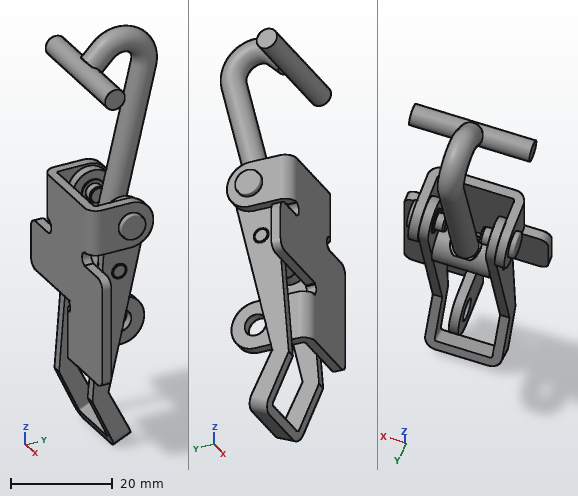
import cadquery as cq
import math


SHEET = 2.0
BEND_OUTER = 2.5
BEND_INNER = BEND_OUTER - SHEET
PLATE_HALF_WIDTH = 15.0
PLATE_CORNER = 2.0
WING_BOTTOM = 13.1
WING_TOP = 24.0
EAR_BOTTOM = 27.0
EAR_HEIGHT = 10.0
EAR_TOP = EAR_BOTTOM + EAR_HEIGHT
EAR_OUTER_X = 10.0
EAR_REACH = 14.0
EAR_RELIEF_X = 6.45
TAB_HEIGHT = 10.5
TAB_OUTER_X = -1.5
TAB_REACH = 17.0
TAB_HOLE_DIAMETER = 4.7
TAB_RELIEF_X = 1.5

PIVOT_Y = EAR_REACH - EAR_HEIGHT / 2
PIVOT_Z = EAR_BOTTOM + EAR_HEIGHT / 2
LEVER_HALF_WIDTH = EAR_OUTER_X - SHEET
LEVER_WALL = 2.0
LEVER_INNER_X = LEVER_HALF_WIDTH - LEVER_WALL
LEVER_BEND_OUTER = 2.5
LEVER_BEND_INNER = LEVER_BEND_OUTER - LEVER_WALL
LEVER_HEAD_RADIUS = 4.5
LEVER_BACK_TILT = math.radians(12.85)
LEVER_FRONT_TILT = math.radians(4.4)
KNEE_FRONT_Z = -6.7
KNEE_BACK_Z = -5.4
HANDLE_TILT = math.radians(24.5)
HANDLE_LENGTH = 12.9
HANDLE_DEPTH = 4.2
GAP_CUT_SIZE = 100.0

RIVET_DIAMETER = 3.5
RIVET_HEAD_DIAMETER = 5.5
RIVET_HEAD_HEIGHT = 1.1
RIVET_HEAD_FILLET = 0.2
RIVET_COLLAR_DIAMETER = 5.0
RIVET_COLLAR_HEIGHT = 0.3
RIVET_TAIL_X = 3.65
RIVET_TAIL_TAPER = 0.4
RIVET_TAIL_STEP = 0.15

BARREL_Y = 7.5
BARREL_Z = 21.1
BARREL_DIAMETER = 7.8
TRUNNION_DIAMETER = 3.2
TRUNNION_CHAMFER = 0.25
BARREL_RECESS_DIAMETER = 6.2
BARREL_RECESS_DEPTH = 1.0

ROD_DIAMETER = 5.1
ROD_TILT = math.radians(13.35)
ROD_LENGTH = 41.5
ROD_TAIL = 4.5
HOOK_RADIUS = 5.35
HOOK_END_ANGLE = math.radians(45)
HOOK_TIP_LENGTH = 3.8
BAR_OFFSET = 5.6
BAR_DIAMETER = 4.4
BAR_LENGTH = 25.0


def offset(point, direction, distance):
    """Point reached by moving a distance along a unit direction in the YZ plane."""
    return (point[0] + direction[0] * distance, point[1] + direction[1] * distance)


def x_cylinder(diameter, x_start, x_end, y, z):
    """Cylinder along X between two X positions."""
    return cq.Workplane("YZ", origin=(x_start, y, z)).circle(diameter / 2).extrude(x_end - x_start)


def box_between(low, high):
    """Box from its lowest corner to its highest corner."""
    size = [b - a for a, b in zip(low, high)]
    return cq.Workplane("XY").box(*size, centered=False).translate(low)


def bent_flange(outer_x, inward, bottom, height, reach):
    """Flange folded back from the plate with a round end; inward is the X sign towards the plate."""
    middle_z = bottom + height / 2
    round_y = reach - height / 2
    slab = (
        cq.Workplane("YZ", origin=(outer_x, 0, 0))
        .moveTo(0, bottom)
        .lineTo(round_y, bottom)
        .threePointArc((reach, middle_z), (round_y, bottom + height))
        .lineTo(0, bottom + height)
        .close()
        .extrude(inward * SHEET)
    )
    foot_end = outer_x + inward * BEND_OUTER
    foot = box_between(
        (min(outer_x, foot_end), 0, bottom),
        (max(outer_x, foot_end), BEND_OUTER, bottom + height),
    )
    bend_axis = cq.Workplane("XY", origin=(foot_end, BEND_OUTER, bottom))
    bend = foot.intersect(bend_axis.circle(BEND_OUTER).extrude(height))
    bend = bend.cut(bend_axis.circle(BEND_INNER).extrude(height))
    flange = slab.cut(foot)
    return flange.union(bend)


def relief_slot(blind_x, open_x, bottom, top):
    """Slot through the plate beside a bend, fully rounded at its blind end."""
    radius = (top - bottom) / 2
    round_x = blind_x + math.copysign(radius, open_x - blind_x)
    middle_z = (bottom + top) / 2
    return (
        cq.Workplane("XZ")
        .moveTo(open_x, bottom)
        .lineTo(round_x, bottom)
        .threePointArc((blind_x, middle_z), (round_x, top))
        .lineTo(open_x, top)
        .close()
        .extrude(-SHEET)
    )


def make_base():
    ear_plate_x = EAR_OUTER_X - BEND_OUTER
    tab_plate_x = TAB_OUTER_X + BEND_OUTER
    wings = box_between((-PLATE_HALF_WIDTH, 0, WING_BOTTOM), (PLATE_HALF_WIDTH, SHEET, WING_TOP))
    leg = box_between((tab_plate_x, 0, 0), (PLATE_HALF_WIDTH, SHEET, WING_TOP))
    neck = box_between((-ear_plate_x, 0, WING_BOTTOM), (ear_plate_x, SHEET, EAR_TOP))
    plate = wings.union(leg).union(neck)

    plate = plate.edges("|Y and (<X or >X)").fillet(PLATE_CORNER)

    for side in (-1, 1):
        outer = side * EAR_OUTER_X
        relief = relief_slot(side * EAR_RELIEF_X, outer, WING_TOP, EAR_BOTTOM)
        plate = plate.cut(relief)
        plate = plate.union(bent_flange(outer, -side, EAR_BOTTOM, EAR_HEIGHT, EAR_REACH))

    tab_relief = relief_slot(TAB_RELIEF_X, TAB_OUTER_X, TAB_HEIGHT, WING_BOTTOM)
    tab = bent_flange(TAB_OUTER_X, 1, 0, TAB_HEIGHT, TAB_REACH)
    tab_hole = x_cylinder(
        TAB_HOLE_DIAMETER, TAB_OUTER_X, TAB_OUTER_X + SHEET, TAB_REACH - TAB_HEIGHT / 2, TAB_HEIGHT / 2
    )
    rivet_holes = x_cylinder(RIVET_DIAMETER, -EAR_OUTER_X, EAR_OUTER_X, PIVOT_Y, PIVOT_Z)
    return plate.cut(tab_relief).union(tab.cut(tab_hole)).cut(rivet_holes)


HANDLE_DIRECTION = (math.sin(HANDLE_TILT), -math.cos(HANDLE_TILT))
HANDLE_ACROSS = (math.cos(HANDLE_TILT), math.sin(HANDLE_TILT))


def wall_edge(tilt, side, knee_z):
    """Straight edge of a lever wall, from its tangent point on the round head down to its knee."""
    normal = (side * math.cos(tilt), -side * math.sin(tilt))
    tangent = offset((PIVOT_Y, PIVOT_Z), normal, LEVER_HEAD_RADIUS)
    knee = (tangent[0] - (tangent[1] - knee_z) * math.tan(tilt), knee_z)
    return tangent, knee


HEAD_FRONT, KNEE_FRONT = wall_edge(LEVER_FRONT_TILT, -1, KNEE_FRONT_Z)
HEAD_BACK, KNEE_BACK = wall_edge(LEVER_BACK_TILT, 1, KNEE_BACK_Z)


def handle_end_edges(body):
    """Edges that run across the handle on the end face of a body."""
    end_face = cq.selectors.DirectionMinMaxSelector(cq.Vector(0, *HANDLE_DIRECTION))
    return body.faces(end_face).edges(cq.selectors.ParallelDirSelector(cq.Vector(0, *HANDLE_ACROSS)))


def lever_block():
    """Side outline of the lever extruded over its full width, with the corners of its end rounded."""
    tip_front = offset(KNEE_FRONT, HANDLE_DIRECTION, HANDLE_LENGTH)
    tip_back = offset(tip_front, HANDLE_ACROSS, HANDLE_DEPTH)
    block = (
        cq.Workplane("YZ")
        .moveTo(*HEAD_FRONT)
        .lineTo(*KNEE_FRONT)
        .lineTo(*tip_front)
        .lineTo(*tip_back)
        .lineTo(*KNEE_BACK)
        .lineTo(*HEAD_BACK)
        .threePointArc((PIVOT_Y, PIVOT_Z + LEVER_HEAD_RADIUS), HEAD_FRONT)
        .close()
        .extrude(LEVER_HALF_WIDTH, both=True)
    )
    return handle_end_edges(block).fillet(LEVER_BEND_OUTER)


def make_lever():
    gap_bottom = offset(KNEE_FRONT, HANDLE_DIRECTION, HANDLE_LENGTH - LEVER_WALL)
    gap_plane = cq.Plane(
        origin=(0, *gap_bottom),
        xDir=(1, 0, 0),
        normal=(0, -HANDLE_DIRECTION[0], -HANDLE_DIRECTION[1]),
    )
    gap = cq.Workplane(gap_plane).rect(2 * LEVER_INNER_X, GAP_CUT_SIZE).extrude(GAP_CUT_SIZE)
    gap = handle_end_edges(gap).fillet(LEVER_BEND_INNER)

    rivet_holes = x_cylinder(RIVET_DIAMETER, -LEVER_HALF_WIDTH, LEVER_HALF_WIDTH, PIVOT_Y, PIVOT_Z)
    return lever_block().cut(gap).cut(rivet_holes).cut(trunnion())


def make_rivet(side):
    """Rivet through one ear and one lever wall; side is the sign of X."""
    head_x = side * EAR_OUTER_X
    head_end = head_x + side * RIVET_HEAD_HEIGHT
    collar_x = side * LEVER_INNER_X
    outer_end = ">X" if side > 0 else "<X"
    inner_end = "<X" if side > 0 else ">X"
    head = x_cylinder(RIVET_HEAD_DIAMETER, head_x, head_end, PIVOT_Y, PIVOT_Z)
    head = head.faces(outer_end).edges().fillet(RIVET_HEAD_FILLET)
    shank = x_cylinder(RIVET_DIAMETER, head_x, side * RIVET_TAIL_X, PIVOT_Y, PIVOT_Z)
    tail_edge = shank.faces(inner_end).edges().vals()
    shank = cq.Workplane(shank.val().chamfer(RIVET_TAIL_TAPER, RIVET_TAIL_STEP, tail_edge))
    collar = x_cylinder(
        RIVET_COLLAR_DIAMETER, collar_x, collar_x - side * RIVET_COLLAR_HEIGHT, PIVOT_Y, PIVOT_Z
    )
    return head.union(shank).union(collar)


ROD_DIRECTION = (math.sin(ROD_TILT), math.cos(ROD_TILT))
ROD_PLANE_NORMAL = (0, *ROD_DIRECTION)


def trunnion():
    """Pin through both lever walls, on the barrel axis."""
    return x_cylinder(TRUNNION_DIAMETER, -LEVER_HALF_WIDTH, LEVER_HALF_WIDTH, BARREL_Y, BARREL_Z)


def rod_section(distance):
    """Workplane square to the rod, a distance above the barrel axis."""
    centre = offset((BARREL_Y, BARREL_Z), ROD_DIRECTION, distance)
    return cq.Workplane(cq.Plane(origin=(0, *centre), xDir=(1, 0, 0), normal=ROD_PLANE_NORMAL))


def make_barrel():
    barrel = x_cylinder(BARREL_DIAMETER, -LEVER_INNER_X, LEVER_INNER_X, BARREL_Y, BARREL_Z)
    pin = trunnion().faces("<X or >X").edges().chamfer(TRUNNION_CHAMFER)
    recess = (
        rod_section(BARREL_DIAMETER / 2 - BARREL_RECESS_DEPTH)
        .circle(BARREL_RECESS_DIAMETER / 2)
        .extrude(BARREL_DIAMETER)
    )
    rod_hole = rod_section(-BARREL_DIAMETER).circle(ROD_DIAMETER / 2).extrude(2 * BARREL_DIAMETER)
    return barrel.union(pin).cut(rod_hole).cut(recess)


def make_hook():
    start = offset((BARREL_Y, BARREL_Z), ROD_DIRECTION, -ROD_TAIL)
    bend_start = offset((BARREL_Y, BARREL_Z), ROD_DIRECTION, ROD_LENGTH)
    rod_normal = (math.cos(ROD_TILT), -math.sin(ROD_TILT))
    bend_centre = offset(bend_start, rod_normal, -HOOK_RADIUS)
    tip_normal = (math.cos(math.pi - HOOK_END_ANGLE), math.sin(math.pi - HOOK_END_ANGLE))
    tip_direction = (-math.cos(HOOK_END_ANGLE), -math.sin(HOOK_END_ANGLE))
    bend_end = offset(bend_centre, tip_normal, HOOK_RADIUS)
    tip = offset(bend_end, tip_direction, HOOK_TIP_LENGTH)
    bar_centre = offset(bend_end, tip_direction, BAR_OFFSET)
    path = (
        cq.Workplane("YZ")
        .moveTo(*start)
        .lineTo(*bend_start)
        .threePointArc((bend_centre[0], bend_centre[1] + HOOK_RADIUS), bend_end)
        .lineTo(*tip)
    )
    rod = rod_section(-ROD_TAIL).circle(ROD_DIAMETER / 2).sweep(path)
    bar = x_cylinder(BAR_DIAMETER, -BAR_LENGTH / 2, BAR_LENGTH / 2, *bar_centre)
    return rod.union(bar)


base = make_base()
lever = make_lever()
rivets = [make_rivet(side) for side in (-1, 1)]
barrel = make_barrel()
hook = make_hook()

result = cq.Compound.makeCompound(
    [base.val(), lever.val(), *[rivet.val() for rivet in rivets], barrel.val(), hook.val()]
)